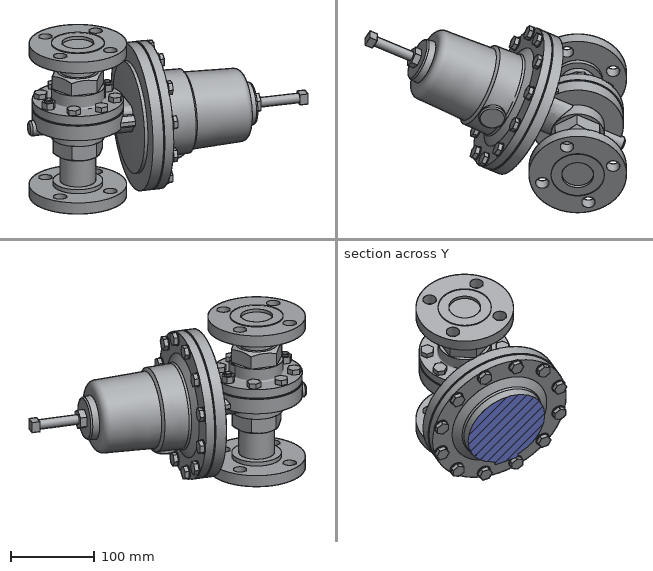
import cadquery as cq
import math


FLANGE_R = 58.7
FLANGE_T = 14.5
FACE_R = 32.0
FACE_T = 1.0
FLANGE_HUB_R = 30.0
FLANGE_HUB_T = 5.2
FLANGE_TOP_Z = 105.0
FLANGE_BOTTOM_Z = -95.0
FLANGE_HOLES = 4
FLANGE_HOLE_D = 16.0
FLANGE_HOLE_CIRCLE_R = 44.5
BORE_R = 19.0
BORE_DEPTH = 3.8

PIPE_R = 21.5
COVER_R = 55.0
COVER_TOP_Z = 31.5
JOINT_TOP_Z = 20.0
JOINT_H = 1.5
JOINT_RECESS = 0.7
COLLAR_R = 32.0
UPPER_COLLAR_TOP_Z = 48.3
COLLAR_FILLET = 1.7
COLLAR_LUG_R = 14.0
COLLAR_LUG_Y = 20.0
COLLAR_LUG_TOP_Z = 47.2
LOWER_COLLAR_H = 17.5
UPPER_HEX_FLATS = 55.5
UPPER_HEX_H = 19.8
LOWER_HEX_FLATS = 53.5
LOWER_HEX_H = 22.0
HEX_END_R = 25.0
HEX_CHAMFER_H = 3.8

COVER_BOLTS = 8
COVER_BOLT_CIRCLE_R = 45.0
COVER_BOLT_FLATS = 14.5
COVER_BOLT_H = 6.3
COVER_NUT_FLATS = 14.0
COVER_NUT_H = 8.5
STUD_R = 5.0
STUD_H = 11.5
STUD_CHAMFER = 1.0

DRAIN_R = 9.5
DRAIN_END_Y = -61.0
DRAIN_CHAMFER = 2.5

NECK_CORE_W = 50.0
NECK_CORE_H = 32.0
NECK_PLATE_W = 66.0
NECK_PLATE_H = 13.2
NECK_PLATE_TOP_CHAMFER = 5.2
NECK_PLATE_TOP_CHAMFER_W = 6.3
NECK_PLATE_BOTTOM_CHAMFER = 2.8
NECK_PAD_W = 45.0
NECK_PAD_TOP_Z = 21.0
NECK_PAD_FILLET = 8.5
NECK_START_Y = 21.0

CASE_R = 89.5
CASE_START_Y = 67.7
CASE_END_Y = 93.8
CASE_JOINT_Y = 81.3
DISH_R = 68.0
DISH_RIM_Y = 63.5
DISH_CENTER_Y = 62.0
CASE_BOLTS = 12
CASE_BOLT_CIRCLE_R = 81.5
CASE_BOLT_FLATS = 14.5
CASE_BOLT_END_Y = 100.0
WASHER_R = 8.7
WASHER_T = 1.0

HOUSING_FLARE_R = 63.5
HOUSING_FOOT_R = 53.0
HOUSING_FOOT_Y = 100.0
HOUSING_LOWER_R = 52.0
HOUSING_LOWER_Y = 102.8
HOUSING_STEP_R = 51.0
HOUSING_STEP_Y = 133.0
HOUSING_WAIST_R = 47.0
HOUSING_WAIST_Y = 135.8
HOUSING_SHOULDER_R = 44.5
HOUSING_END_Y = 207.7
SHOULDER_FILLET = 9.5
HUB_BASE_R = 27.0
HUB_TOP_R = 26.0
HUB_END_Y = 218.0
HUB_CHAMFER_H = 2.0
HUB_CHAMFER_W = 1.5
VENT_R = 16.3
VENT_Y = 116.5
VENT_END_Z = -54.5
VENT_CHAMFER = 1.7

LOCKNUT_FLATS = 21.0
LOCKNUT_END_Y = 226.5
SCREW_R = 6.0
SCREW_END_Y = 286.2
SCREW_HEAD_W = 13.2
SCREW_HEAD_L = 10.0


def corner_diameter(flats):
    return flats / math.cos(math.radians(30))


def z_cylinder(radius, z_low, z_high):
    return cq.Workplane("XY").workplane(offset=z_low).circle(radius).extrude(z_high - z_low)


def y_cylinder(radius, y_low, y_high):
    return cq.Workplane("XZ", origin=(0, y_low, 0)).circle(radius).extrude(y_low - y_high)


def polar_point(radius, angle):
    return (radius * math.cos(math.radians(angle)), radius * math.sin(math.radians(angle)))


def z_hex(flats, z_low, z_high, turn=0):
    """Hexagonal prism along Z with a corner at the angle `turn` from +X."""
    hexagon = cq.Workplane("XY").polygon(6, corner_diameter(flats)).extrude(z_high - z_low)
    return hexagon.rotate((0, 0, 0), (0, 0, 1), turn).translate((0, 0, z_low))


def y_hex(flats, y_low, y_high, turn=0):
    """Hexagonal prism along Y with a corner at the angle `turn` from +X towards +Z."""
    hexagon = cq.Workplane("XZ").polygon(6, corner_diameter(flats)).extrude(y_low - y_high)
    return hexagon.rotate((0, 0, 0), (0, 1, 0), -turn).translate((0, y_low, 0))


def pipe_flange(outer_z, inward):
    """Pipe flange whose face is at outer_z; inward is the Z direction (+1 or -1) to the valve."""
    back = FACE_T + FLANGE_T
    hub_end = back + FLANGE_HUB_T
    holes = (
        cq.Workplane("XY")
        .polarArray(FLANGE_HOLE_CIRCLE_R, 45, 360, FLANGE_HOLES)
        .circle(FLANGE_HOLE_D / 2)
        .extrude(back)
    )
    flange = (
        z_cylinder(FACE_R, 0, back)
        .union(z_cylinder(FLANGE_R, FACE_T, back))
        .union(z_cylinder(FLANGE_HUB_R, back, hub_end))
        .cut(holes)
        .cut(z_cylinder(BORE_R, 0, BORE_DEPTH))
    )
    if inward < 0:
        flange = flange.mirror("XY")
    return flange.translate((0, 0, outer_z))


def chamfered_body_hex(flats, z_start, z_end):
    """Body hexagon with corners at +Y and -Y, its corners bevelled at z_end."""
    corner_r = corner_diameter(flats) / 2
    z_bevel = z_end - math.copysign(HEX_CHAMFER_H, z_end - z_start)
    envelope = (
        cq.Workplane("XZ")
        .polyline([(0, z_start), (corner_r, z_start), (corner_r, z_bevel), (HEX_END_R, z_end), (0, z_end)])
        .close()
        .revolve(360, (0, 0, 0), (0, 1, 0))
    )
    return z_hex(flats, min(z_start, z_end), max(z_start, z_end), 90).intersect(envelope)


def valve_body():
    upper_hex_end = UPPER_COLLAR_TOP_Z + UPPER_HEX_H
    lower_hex_end = -LOWER_COLLAR_H - LOWER_HEX_H
    joint_bottom = JOINT_TOP_Z - JOINT_H
    flange_depth = FACE_T + FLANGE_T
    cover = z_cylinder(COVER_R, JOINT_TOP_Z, COVER_TOP_Z).union(
        z_cylinder(COLLAR_R, COVER_TOP_Z, UPPER_COLLAR_TOP_Z)
    )
    reach = COLLAR_R + COLLAR_FILLET
    collar_foot = cq.selectors.BoxSelector(
        (-reach, -reach, COVER_TOP_Z - COLLAR_FILLET),
        (reach, reach, COVER_TOP_Z + COLLAR_FILLET),
        boundingbox=True,
    )
    cover = cover.edges(collar_foot).fillet(COLLAR_FILLET)
    collar_lug = z_cylinder(COLLAR_LUG_R, JOINT_TOP_Z, COLLAR_LUG_TOP_Z).translate((0, COLLAR_LUG_Y, 0))
    return (
        cover.union(collar_lug)
        .union(z_cylinder(COVER_R - JOINT_RECESS, joint_bottom, JOINT_TOP_Z))
        .union(z_cylinder(COVER_R, 0, joint_bottom))
        .union(z_cylinder(COLLAR_R, -LOWER_COLLAR_H, 0))
        .union(chamfered_body_hex(UPPER_HEX_FLATS, UPPER_COLLAR_TOP_Z, upper_hex_end))
        .union(chamfered_body_hex(LOWER_HEX_FLATS, -LOWER_COLLAR_H, lower_hex_end))
        .union(z_cylinder(PIPE_R, upper_hex_end, FLANGE_TOP_Z - flange_depth))
        .union(z_cylinder(PIPE_R, FLANGE_BOTTOM_Z + flange_depth, lower_hex_end))
    )


def cover_fasteners():
    """Bolt heads around the cover, with a nut on a stud at two opposite places."""
    pitch = 360 / COVER_BOLTS
    stud_indexes = (2, 2 + COVER_BOLTS // 2)
    fasteners = cq.Workplane("XY")
    for i in range(COVER_BOLTS):
        angle = pitch * (i + 0.5)
        x, y = polar_point(COVER_BOLT_CIRCLE_R, angle)
        if i in stud_indexes:
            fastener = z_hex(COVER_NUT_FLATS, COVER_TOP_Z, COVER_TOP_Z + COVER_NUT_H, 90)
            stud = z_cylinder(STUD_R, COVER_TOP_Z, COVER_TOP_Z + STUD_H)
            fastener = fastener.union(stud.faces(">Z").chamfer(STUD_CHAMFER))
        else:
            fastener = z_hex(COVER_BOLT_FLATS, COVER_TOP_Z, COVER_TOP_Z + COVER_BOLT_H, angle + pitch / 2)
        fasteners = fasteners.union(fastener.translate((x, y, 0)))
    return fasteners


def drain_plug():
    return y_cylinder(DRAIN_R, DRAIN_END_Y, 0).faces("<Y").chamfer(DRAIN_CHAMFER)


def neck():
    """Oval core with a bevelled plate and a rounded pad over it."""
    length = CASE_START_Y - NECK_START_Y
    half_w = NECK_PLATE_W / 2
    top_half_w = half_w - NECK_PLATE_TOP_CHAMFER_W
    bottom_half_w = half_w - NECK_PLATE_BOTTOM_CHAMFER
    side_top_z = NECK_PLATE_H - NECK_PLATE_TOP_CHAMFER
    plane = cq.Workplane("XZ", origin=(0, NECK_START_Y, 0))
    plate = (
        plane.moveTo(bottom_half_w, 0)
        .lineTo(half_w, NECK_PLATE_BOTTOM_CHAMFER)
        .lineTo(half_w, side_top_z)
        .lineTo(top_half_w, NECK_PLATE_H)
        .lineTo(-top_half_w, NECK_PLATE_H)
        .lineTo(-half_w, side_top_z)
        .lineTo(-half_w, NECK_PLATE_BOTTOM_CHAMFER)
        .lineTo(-bottom_half_w, 0)
        .close()
        .extrude(-length)
    )
    pad = plane.center(0, NECK_PAD_TOP_Z / 2).rect(NECK_PAD_W, NECK_PAD_TOP_Z).extrude(-length)
    pad = pad.edges("|Y and >Z").fillet(NECK_PAD_FILLET)
    core = cq.Workplane("XZ").ellipse(NECK_CORE_W / 2, NECK_CORE_H / 2).extrude(-CASE_START_Y)
    return core.union(plate).union(pad)


def actuator():
    """Diaphragm case, spring housing and hub as one turned profile, plus the vent boss."""
    shoulder_y = HOUSING_END_Y - SHOULDER_FILLET
    shoulder_top_r = HOUSING_SHOULDER_R - SHOULDER_FILLET
    shoulder_offset = SHOULDER_FILLET * math.sin(math.radians(45))
    joint_r = CASE_R - JOINT_RECESS
    joint_end_y = CASE_JOINT_Y + JOINT_H
    dish_mid_y = DISH_CENTER_Y + (DISH_RIM_Y - DISH_CENTER_Y) / 4
    turned = (
        cq.Workplane("XY")
        .moveTo(0, DISH_CENTER_Y)
        .threePointArc((DISH_R / 2, dish_mid_y), (DISH_R, DISH_RIM_Y))
        .lineTo(DISH_R, CASE_START_Y)
        .lineTo(CASE_R, CASE_START_Y)
        .lineTo(CASE_R, CASE_JOINT_Y)
        .lineTo(joint_r, CASE_JOINT_Y)
        .lineTo(joint_r, joint_end_y)
        .lineTo(CASE_R, joint_end_y)
        .lineTo(CASE_R, CASE_END_Y)
        .lineTo(HOUSING_FLARE_R, CASE_END_Y)
        .lineTo(HOUSING_FOOT_R, HOUSING_FOOT_Y)
        .lineTo(HOUSING_LOWER_R, HOUSING_LOWER_Y)
        .lineTo(HOUSING_STEP_R, HOUSING_STEP_Y)
        .lineTo(HOUSING_WAIST_R, HOUSING_WAIST_Y)
        .lineTo(HOUSING_SHOULDER_R, shoulder_y)
        .threePointArc(
            (shoulder_top_r + shoulder_offset, shoulder_y + shoulder_offset),
            (shoulder_top_r, HOUSING_END_Y),
        )
        .lineTo(HUB_BASE_R, HOUSING_END_Y)
        .lineTo(HUB_TOP_R, HUB_END_Y - HUB_CHAMFER_H)
        .lineTo(HUB_TOP_R - HUB_CHAMFER_W, HUB_END_Y)
        .lineTo(0, HUB_END_Y)
        .close()
        .revolve(360, (0, 0, 0), (0, 1, 0))
    )
    vent = z_cylinder(VENT_R, VENT_END_Z, 0).faces("<Z").chamfer(VENT_CHAMFER)
    return turned.union(vent.translate((0, VENT_Y, 0)))


def case_bolts():
    pitch = 360 / CASE_BOLTS
    bolts = cq.Workplane("XY")
    for i in range(CASE_BOLTS):
        angle = pitch * (i + 0.5)
        x, z = polar_point(CASE_BOLT_CIRCLE_R, angle)
        bolt = y_cylinder(WASHER_R, CASE_END_Y, CASE_END_Y + WASHER_T).union(
            y_hex(CASE_BOLT_FLATS, CASE_END_Y, CASE_BOLT_END_Y, angle + pitch / 2)
        )
        bolts = bolts.union(bolt.translate((x, 0, z)))
    return bolts


def adjusting_screw():
    head = (
        cq.Workplane("XZ", origin=(0, SCREW_END_Y, 0))
        .rect(SCREW_HEAD_W, SCREW_HEAD_W)
        .extrude(SCREW_HEAD_L)
    )
    return (
        y_hex(LOCKNUT_FLATS, HUB_END_Y, LOCKNUT_END_Y, 90)
        .union(y_cylinder(SCREW_R, HUB_END_Y, SCREW_END_Y))
        .union(head)
    )


result = (
    valve_body()
    .union(pipe_flange(FLANGE_TOP_Z, -1))
    .union(pipe_flange(FLANGE_BOTTOM_Z, 1))
    .union(cover_fasteners())
    .union(drain_plug())
    .union(neck())
    .union(actuator())
    .union(case_bolts())
    .union(adjusting_screw())
)